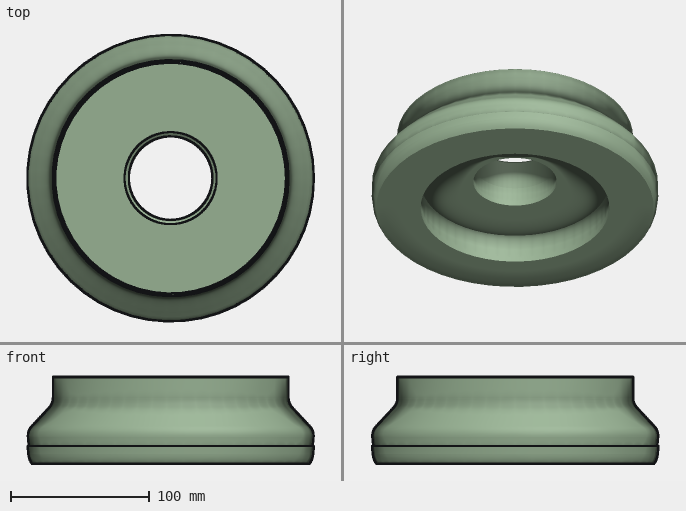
import cadquery as cq
import math

total_height = 62.99
rim_height = 13.0
recess_depth = 22.7

hub_radius = 170 / 2
top_face_radius = 166 / 2
top_face_rise = 0.2
hub_chamfer = 0.5

blend_radius = 10.0
flare_angle = math.radians(43)
undercut_angle = math.radians(6)
blend_start_height = 47.3
shoulder_start_height = 26.9

upper_bore_radius = 60.3 / 2
lower_bore_radius = 60.02 / 2
bore_chamfer = 3.0
bore_step_height = 37.8
recess_radius = 136 / 2

rim_outer_radius = 206.44 / 2
rim_round_radius = 14.0
rim_round_start_height = 7.0


def arc_point(center, radius, angle):
    """Point on a circle in the (radius, height) plane, angle measured from horizontal."""
    return center[0] + radius * math.cos(angle), center[1] + radius * math.sin(angle)


def taper_point(start, height, angle):
    """Point below the start on a line that leans outward by the angle from the axis."""
    return start[0] + (start[1] - height) * math.tan(angle), height


blend_center = (hub_radius + blend_radius, blend_start_height)
blend_middle = arc_point(blend_center, blend_radius, math.pi + flare_angle / 2)
blend_end = arc_point(blend_center, blend_radius, math.pi + flare_angle)
shoulder_start = taper_point(blend_end, shoulder_start_height, flare_angle)
shoulder_center = arc_point(shoulder_start, blend_radius, math.pi + flare_angle)
shoulder_middle = arc_point(shoulder_center, blend_radius, (flare_angle - undercut_angle) / 2)
shoulder_end = arc_point(shoulder_center, blend_radius, -undercut_angle)
skirt_edge = taper_point(shoulder_end, rim_height, -undercut_angle)

corner_radius = rim_outer_radius - skirt_edge[0]
corner_center = (skirt_edge[0], rim_height - corner_radius)
corner_middle = arc_point(corner_center, corner_radius, math.pi / 4)
corner_end = arc_point(corner_center, corner_radius, -undercut_angle)
round_start = taper_point(corner_end, rim_round_start_height, -undercut_angle)
round_center = arc_point(round_start, rim_round_radius, math.pi - undercut_angle)
face_angle = math.asin(round_center[1] / rim_round_radius)
round_middle = arc_point(round_center, rim_round_radius, -(undercut_angle + face_angle) / 2)
round_end = arc_point(round_center, rim_round_radius, -face_angle)


def make_wheel_body():
    ledge_height = total_height - top_face_rise
    profile = (
        cq.Workplane("XZ")
        .moveTo(upper_bore_radius + bore_chamfer, total_height)
        .lineTo(top_face_radius, total_height)
        .lineTo(top_face_radius, ledge_height)
        .lineTo(hub_radius - hub_chamfer, ledge_height)
        .lineTo(hub_radius, ledge_height - hub_chamfer)
        .lineTo(hub_radius, blend_start_height)
        .threePointArc(blend_middle, blend_end)
        .lineTo(*shoulder_start)
        .threePointArc(shoulder_middle, shoulder_end)
        .lineTo(*skirt_edge)
        .lineTo(recess_radius, rim_height)
        .lineTo(recess_radius, recess_depth)
        .lineTo(lower_bore_radius, recess_depth)
        .lineTo(lower_bore_radius, bore_step_height)
        .lineTo(upper_bore_radius, bore_step_height)
        .lineTo(upper_bore_radius, total_height - bore_chamfer)
        .close()
    )
    return profile.revolve(360, (0, 0, 0), (0, 1, 0))


def make_rim():
    profile = (
        cq.Workplane("XZ")
        .moveTo(recess_radius, rim_height)
        .lineTo(*skirt_edge)
        .threePointArc(corner_middle, corner_end)
        .lineTo(*round_start)
        .threePointArc(round_middle, round_end)
        .lineTo(recess_radius, 0)
        .close()
    )
    return profile.revolve(360, (0, 0, 0), (0, 1, 0))


wheel_body = make_wheel_body()
rim = make_rim()

result = cq.Compound.makeCompound([wheel_body.val(), rim.val()])